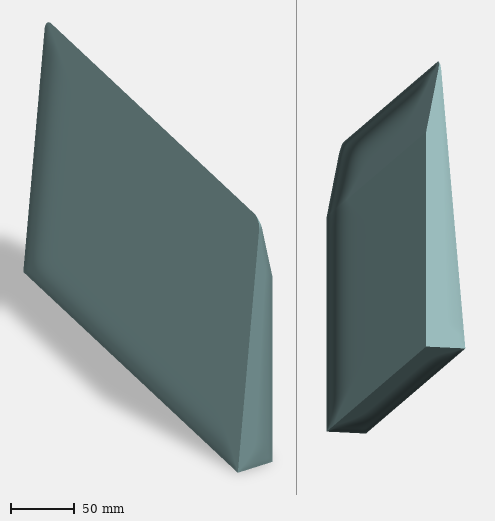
import cadquery as cq

width = 333.94
base_depth = 31.6
height = 230.3

back_height = 171.6
edge_setback = 11.45

corner_radius = 9.4


def wedge():
    """Tapered side profile extruded along X, symmetric about the YZ plane."""
    top_edge_y = base_depth - edge_setback
    profile = [
        (0, 0),
        (base_depth, 0),
        (base_depth, back_height),
        (top_edge_y, height),
    ]
    return cq.Workplane("YZ").polyline(profile).close().extrude(width / 2, both=True)


def rounded_outline():
    """Upright block with the rounded upper corners of the panel."""
    return (
        cq.Workplane("XY")
        .box(width, base_depth, height, centered=(True, False, False))
        .edges("|Y and >Z")
        .fillet(corner_radius)
    )


result = wedge().intersect(rounded_outline())